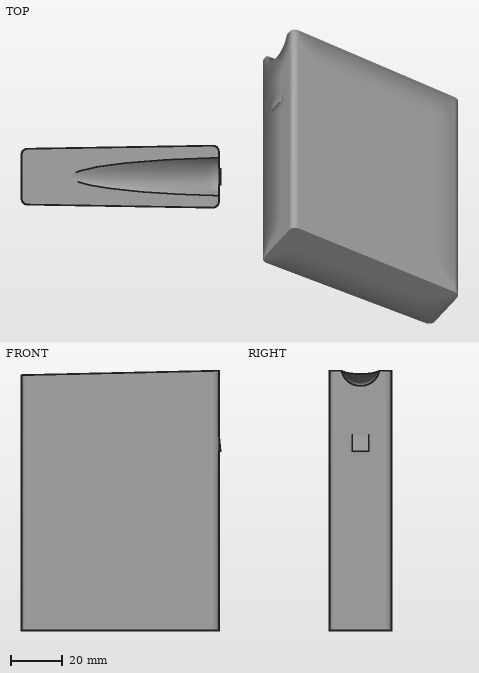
import cadquery as cq
import math

length = 77.215
peak_height = 101.6
wide_width = 24.29
side_taper = 0.95
top_slope = 1.28
corner_radius = 2.54

groove_start = 19.6
groove_radius = 7.6
groove_end_depth = 6.0

catch_width = 6.35
catch_bottom = 70.15
catch_height = 6.35
catch_projection = 0.635


def top_height(x):
    return peak_height - (length - x) * math.tan(math.radians(top_slope))


def make_body():
    taper = math.radians(side_taper)
    tangent_x = length - corner_radius - corner_radius * math.sin(taper)
    tangent_y = wide_width / 2 - corner_radius + corner_radius * math.cos(taper)
    wide_half = tangent_y + (length - tangent_x) * math.tan(taper)
    narrow_half = wide_half - length * math.tan(taper)
    body = (
        cq.Workplane("XY")
        .polyline([(0, -narrow_half), (length, -wide_half), (length, wide_half), (0, narrow_half)])
        .close()
        .extrude(peak_height)
        .edges("|Z")
        .fillet(corner_radius)
    )
    above_top = (
        cq.Workplane("XZ")
        .polyline([(0, top_height(0)), (length, peak_height), (0, peak_height)])
        .close()
        .extrude(wide_width, both=True)
    )
    return body.cut(above_top)


def make_groove():
    start_z = top_height(groove_start)
    run = length - groove_start
    drop = start_z - (peak_height - groove_end_depth)
    fall = math.atan2(drop, run)
    direction = cq.Vector(math.cos(fall), 0, -math.sin(fall))
    up = cq.Vector(math.sin(fall), 0, math.cos(fall))
    tip = cq.Vector(groove_start, 0, start_z)
    base = tip + up * groove_radius - direction * groove_radius
    section = cq.Plane(origin=base, xDir=-up, normal=direction)
    return cq.Workplane(section).circle(groove_radius).extrude(length)


def make_catch():
    root_x = length - corner_radius
    profile = [
        (root_x, catch_bottom),
        (length + catch_projection, catch_bottom),
        (length, catch_bottom + catch_height),
        (root_x, catch_bottom + catch_height),
    ]
    return cq.Workplane("XZ").polyline(profile).close().extrude(catch_width / 2, both=True)


result = make_body().cut(make_groove()).union(make_catch())